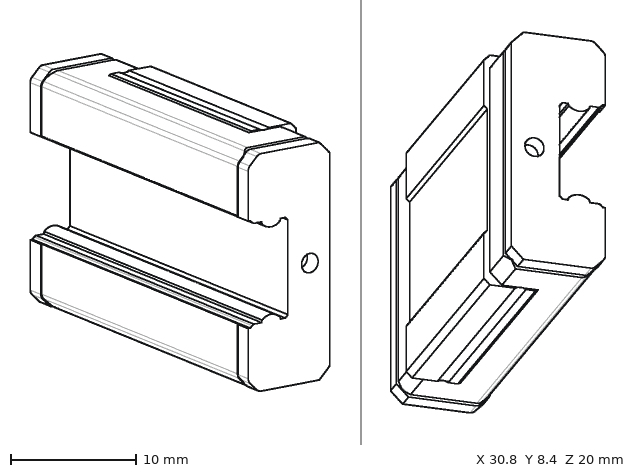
import cadquery as cq
import math

length = 30.8
pad_height = 8.4
pad_width = 20.0
block_height = 7.92
block_width = 19.77

cap_length = 1.5
body_setback = 0.1
groove_size = 0.52
back_chamfer = 1.02
front_chamfer = 1.02
front_rounding = 0.6

channel_width = 8.38
channel_depth = 3.85
channel_corner = 0.25
lip_rise = 0.28
lip_flat = 0.22
lip_bevel = 0.2
lip_ease_run = 0.15
bead_position = 2.22
bead_height = 0.55
bead_diameter = 2.45
bead_half_width = 0.85
bead_flank_run = 0.05

pad_length = 19.8
pad_front = 3.85
pad_chamfer = 0.5
pad_gap_width = 10.53
pad_gap_depth = 0.28
pad_gap_slope = 0.28
pad_front_bevel = 0.22
flute_diameter = 1.6
flute_depth = 0.14
flute_position = 5.33

hole_diameter = 1.6
hole_position = 5.98


def extrude_along_x(profile, span):
    return profile.extrude(span / 2, both=True)


def block(span, front):
    """Bar with chamfered long edges whose front face lies at the given Y."""
    bar = cq.Workplane("XY").box(span, block_height - front, block_width)
    bar = bar.translate((0, (block_height + front) / 2, 0))
    bar = bar.edges("|X and >Y").chamfer(back_chamfer)
    bar = bar.edges("|X and <Y").chamfer(front_chamfer)
    front_corners = cq.selectors.BoxSelector(
        (-span, front - 0.3, -block_width), (span, front + front_chamfer + 0.3, block_width)
    )
    return bar.edges("|X").edges(front_corners).fillet(front_rounding)


def body_space():
    """Everything between the two end caps."""
    return cq.Workplane("XY").box(length - 2 * cap_length, 4 * block_height, 2 * block_width)


def body():
    """Middle bar with bevelled ends on its back, top and bottom."""
    span = length - 2 * cap_length
    bevel_envelope = (
        cq.Workplane("XY")
        .box(span, 2 * block_height, block_width)
        .faces("<X or >X")
        .edges(">Y or >Z or <Z")
        .chamfer(groove_size)
    )
    return block(span, body_setback).intersect(bevel_envelope)


def end_caps():
    """Pair of caps that share one outline."""
    return block(length, 0).cut(body_space())


def pads():
    """Back plate with two raised pads; its front edges slope down to the body surface."""
    top = pad_width / 2
    surface = block_width / 2
    gap = pad_gap_width / 2
    outline = [
        (pad_front, 0),
        (pad_front, surface),
        (pad_front + pad_front_bevel, top),
        (pad_height - pad_chamfer, top),
        (pad_height, top - pad_chamfer),
        (pad_height, gap + pad_gap_slope),
        (pad_height - pad_gap_depth, gap),
        (pad_height - pad_gap_depth, 0),
    ]
    upper_half = extrude_along_x(cq.Workplane("YZ").polyline(outline).close(), pad_length)
    return upper_half.union(upper_half.mirror("XY"))


def flutes():
    """Shallow round grooves along the outer face of both pads."""
    axis = pad_width / 2 + flute_diameter / 2 - flute_depth
    centers = cq.Workplane("YZ").pushPoints([(flute_position, axis), (flute_position, -axis)])
    return extrude_along_x(centers.circle(flute_diameter / 2), pad_length)


def channel():
    """Rail channel, narrowed by a rounded bead on each wall."""
    wall = channel_width / 2
    lip = wall + lip_rise
    bevel_end = lip_flat + lip_bevel
    crest = wall - bead_height
    radius = bead_diameter / 2
    shoulder = crest + radius - math.sqrt(radius**2 - bead_half_width**2)
    bead_foot = bead_half_width + bead_flank_run
    upper_half = (
        cq.Workplane("YZ")
        .moveTo(0, 0)
        .lineTo(0, lip)
        .lineTo(lip_flat, lip)
        .lineTo(bevel_end, lip - lip_bevel)
        .lineTo(bevel_end + lip_ease_run, wall)
        .lineTo(bead_position - bead_foot, wall)
        .lineTo(bead_position - bead_half_width, shoulder)
        .threePointArc((bead_position, crest), (bead_position + bead_half_width, shoulder))
        .lineTo(bead_position + bead_foot, wall)
        .lineTo(channel_depth - channel_corner, wall)
        .lineTo(channel_depth, wall - channel_corner)
        .lineTo(channel_depth, 0)
        .close()
    )
    upper_half = extrude_along_x(upper_half, length)
    return upper_half.union(upper_half.mirror("XY"))


def lubrication_holes():
    """Blind holes as deep as each end cap."""
    circle = cq.Workplane("YZ").center(hole_position, 0).circle(hole_diameter / 2)
    return extrude_along_x(circle, length).cut(body_space())


carriage = body().union(end_caps()).union(pads())
result = carriage.cut(flutes()).cut(channel()).cut(lubrication_holes())